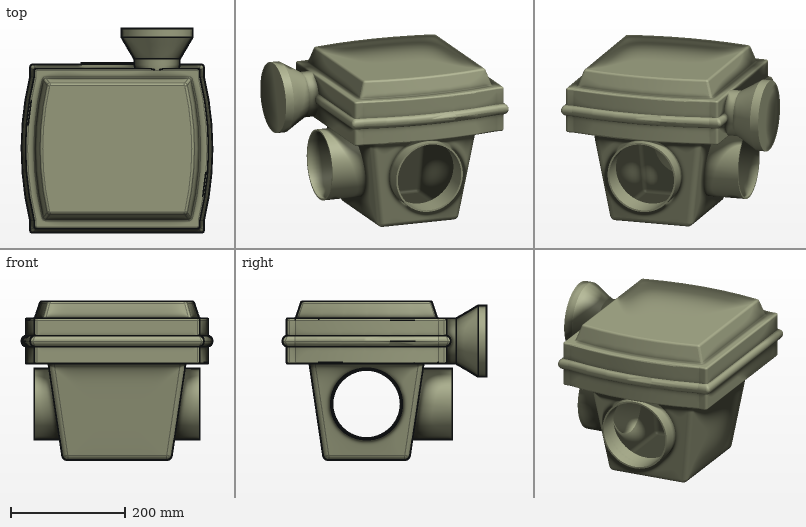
import cadquery as cq
import math


RIM_HALF_HEIGHT = 40.0
RIM_HALF_LENGTH = 140.0
RIM_HALF_WIDTH = 160.0
RIM_CORNER_HALF_WIDTH = 145.0
BOW_HALF_LENGTH = 125.0
RIM_CORNER_RADIUS = 4.5
RIM_EDGE_RADIUS = 3.2

BEAD_RADIUS = 10.0
BEAD_REACH = 7.0
BEAD_FLAT = 0.07
BEAD_CORNER_RADIUS = 4.5

COVER_INSET = 16.0
COVER_HEIGHT = 30.0
COVER_LEAN = 10.0
COVER_CORNER_RADIUS = 5.0
COVER_TOP_RADIUS = 5.0
COVER_FOOT_RADIUS = 3.0

SPOUT_X = 70.0
SPOUT_NECK_RADIUS = RIM_HALF_HEIGHT
SPOUT_MOUTH_RADIUS = 62.5
SPOUT_END_Y = 210.0
SPOUT_MOUTH_LENGTH = 15.0
SPOUT_CONE_LENGTH = 38.2

HOPPER_HALF_WIDTH = 120.0
HOPPER_HALF_LENGTH = 100.0
HOPPER_DEPTH = 168.0
HOPPER_LEAN = 25.0
HOPPER_EDGE_RADIUS = 10.0
WALL = 3.0

PIPE_RADIUS = 62.5
PIPE_BORE_RADIUS = PIPE_RADIUS - WALL
PIPE_Z = -110.0
SIDE_PIPE_END_X = RIM_CORNER_HALF_WIDTH
BACK_PIPE_END_Y = 150.0

BOW_RISE = RIM_HALF_WIDTH - RIM_CORNER_HALF_WIDTH
BOW_RADIUS = (BOW_HALF_LENGTH**2 + BOW_RISE**2) / (2 * BOW_RISE)
BOW_CENTRE = BOW_RADIUS - RIM_HALF_WIDTH


def bow_x(y, inset):
    """Half width of the bowed side, moved in by inset, at a given Y."""
    return math.sqrt((BOW_RADIUS - inset) ** 2 - y**2) - BOW_CENTRE


def rim_outline(z, inset=0.0):
    """Closed rim outline at height z, moved in by inset (out if negative)."""
    corner_x = RIM_CORNER_HALF_WIDTH - inset
    corner_y = RIM_HALF_LENGTH - inset
    middle_x = RIM_HALF_WIDTH - inset
    bow_y = math.sqrt((BOW_RADIUS - inset) ** 2 - (corner_x + BOW_CENTRE) ** 2)
    return (
        cq.Workplane("XY", origin=(0, 0, z))
        .moveTo(0, -corner_y)
        .lineTo(corner_x, -corner_y)
        .lineTo(corner_x, -bow_y)
        .threePointArc((middle_x, 0), (corner_x, bow_y))
        .lineTo(corner_x, corner_y)
        .lineTo(-corner_x, corner_y)
        .lineTo(-corner_x, bow_y)
        .threePointArc((-middle_x, 0), (-corner_x, -bow_y))
        .lineTo(-corner_x, -corner_y)
        .close()
    )


def round_corners(slab, inset, radius):
    """Round the four upright corners of a slab extruded from rim_outline."""
    corner_x = RIM_CORNER_HALF_WIDTH - inset
    corner_y = RIM_HALF_LENGTH - inset
    edges = []
    for x in (-corner_x, corner_x):
        for y in (-corner_y, corner_y):
            edges += slab.edges("|Z").edges(cq.selectors.NearestToPointSelector((x, y, 0))).vals()
    return slab.newObject([slab.val().fillet(radius, edges)])


def make_rim():
    rim = rim_outline(-RIM_HALF_HEIGHT).extrude(2 * RIM_HALF_HEIGHT)
    rim = round_corners(rim, 0, RIM_CORNER_RADIUS)
    return rim.faces("<Z or >Z").edges().fillet(RIM_EDGE_RADIUS)


def make_bead():
    plate = rim_outline(-BEAD_RADIUS, -BEAD_REACH).extrude(2 * BEAD_RADIUS)
    plate = round_corners(plate, -BEAD_REACH, BEAD_CORNER_RADIUS)
    return plate.faces("<Z or >Z").edges().fillet(BEAD_RADIUS - BEAD_FLAT)


def make_cover():
    corner_y = RIM_HALF_LENGTH - COVER_INSET
    corner_x = bow_x(corner_y, COVER_INSET)
    middle_x = RIM_HALF_WIDTH - COVER_INSET
    lean_angle = math.degrees(math.atan2(COVER_LEAN, COVER_HEIGHT))
    outline = (
        cq.Sketch()
        .segment((-corner_x, -corner_y), (corner_x, -corner_y))
        .arc((corner_x, -corner_y), (middle_x, 0), (corner_x, corner_y))
        .segment((corner_x, corner_y), (-corner_x, corner_y))
        .arc((-corner_x, corner_y), (-middle_x, 0), (-corner_x, -corner_y))
        .assemble()
    )
    cover = (
        cq.Workplane("XY", origin=(0, 0, RIM_HALF_HEIGHT))
        .placeSketch(outline)
        .extrude(COVER_HEIGHT, taper=lean_angle)
    )
    cover = cover.edges("not(#Z or <Z or >Z)").fillet(COVER_CORNER_RADIUS)
    return cover.faces(">Z").edges().fillet(COVER_TOP_RADIUS)


def make_spout():
    mouth_y = SPOUT_END_Y - SPOUT_MOUTH_LENGTH
    neck_y = mouth_y - SPOUT_CONE_LENGTH
    root_y = RIM_HALF_LENGTH - RIM_EDGE_RADIUS
    return (
        cq.Workplane("XY")
        .moveTo(0, root_y)
        .lineTo(SPOUT_NECK_RADIUS, root_y)
        .lineTo(SPOUT_NECK_RADIUS, neck_y)
        .lineTo(SPOUT_MOUTH_RADIUS, mouth_y)
        .lineTo(SPOUT_MOUTH_RADIUS, SPOUT_END_Y)
        .lineTo(0, SPOUT_END_Y)
        .close()
        .revolve(360, (0, 0, 0), (0, 1, 0))
        .translate((SPOUT_X, 0, 0))
    )


def make_head():
    body = make_rim().union(make_cover())
    half_x = RIM_HALF_WIDTH - COVER_INSET / 2
    half_y = RIM_HALF_LENGTH - COVER_INSET / 2
    half_z = COVER_FOOT_RADIUS / 2
    foot_box = cq.selectors.BoxSelector(
        (-half_x, -half_y, RIM_HALF_HEIGHT - half_z),
        (half_x, half_y, RIM_HALF_HEIGHT + half_z),
        boundingbox=True,
    )
    body = body.edges(foot_box).fillet(COVER_FOOT_RADIUS)
    return body.union(make_bead()).union(make_spout())


def make_tub():
    """Solid, tapered outside shape of the hopper."""
    lean_angle = math.degrees(math.atan2(HOPPER_LEAN, HOPPER_DEPTH))
    return (
        cq.Workplane("XY", origin=(0, 0, -RIM_HALF_HEIGHT))
        .rect(2 * HOPPER_HALF_WIDTH, 2 * HOPPER_HALF_LENGTH)
        .extrude(-HOPPER_DEPTH, taper=lean_angle)
        .edges("not >Z")
        .fillet(HOPPER_EDGE_RADIUS)
    )


def make_pipe_runs(radius):
    """One cylinder through both sides and one from the middle out of the back."""
    side_run = (
        cq.Workplane("YZ", origin=(-SIDE_PIPE_END_X, 0, PIPE_Z))
        .circle(radius)
        .extrude(2 * SIDE_PIPE_END_X)
    )
    back_run = (
        cq.Workplane("XZ", origin=(0, 0, PIPE_Z))
        .circle(radius)
        .extrude(-BACK_PIPE_END_Y)
    )
    return side_run.union(back_run)


def make_hopper():
    tub = make_tub()
    thin_tub = tub.faces(">Z").shell(-WALL)
    cavity = tub.cut(thin_tub)
    outside = tub.union(make_pipe_runs(PIPE_RADIUS))
    return outside.cut(cavity).cut(make_pipe_runs(PIPE_BORE_RADIUS))


head = make_head()
hopper = make_hopper()

result = cq.Compound.makeCompound([head.val(), hopper.val()])